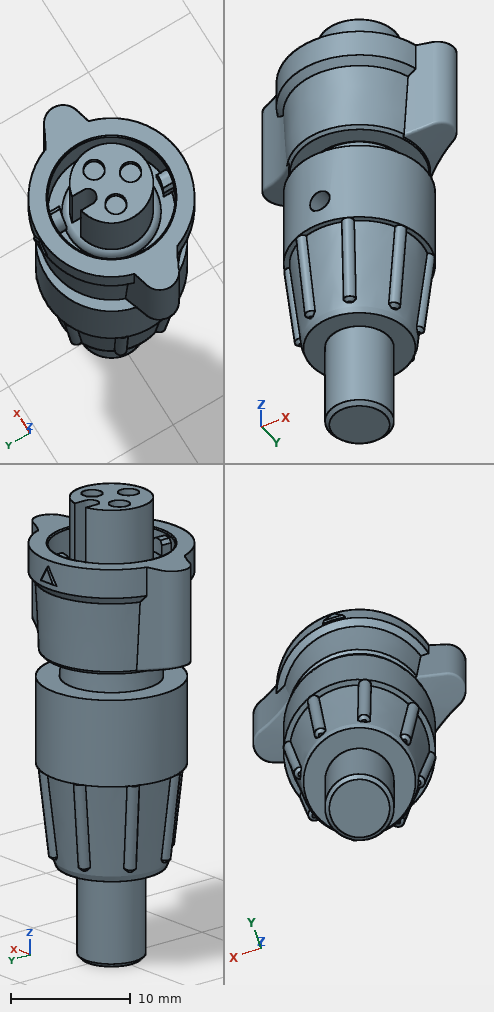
import cadquery as cq
import math

total_height = 40.65

cable_radius = 2.9
cable_chamfer = 0.35

nut_bottom = 8.25
nut_grip_top = 17.2
nut_top = 24.82
nut_radius = 6.35
grip_top_radius = 5.85
grip_bottom_radius = 4.88
grip_edge_radius = 4.67
grip_edge_height = 0.53
rib_count = 8
rib_radius = 0.53
rib_bottom = 9.2
rib_end_chamfer = 0.33
sight_hole_z = 19.65
sight_hole_outer_radius = 0.98
sight_hole_inner_radius = 0.75

insert_radius = 3.5
shoulder_radius = 4.15
shoulder_base = 32.5
shoulder_top = shoulder_base + shoulder_radius - insert_radius
neck_top_radius = 4.23
neck_radius = 4.35
tail_top = sight_hole_z
tail_length = 2.45
tail_bottom = tail_top - tail_length
socket_radius = 0.9
socket_depth = 0.55
socket_circle_radius = 1.85
socket_angles = (20, 160, 270)
keyway_width = 1.42
keyway_inner_end = 1.6

ring_top = 36.55
ring_bottom = 26.98
ring_bore_radius = 5.32
bore_chamfer = 0.12
flange_radius = 6.95
flange_bottom = 34.05
body_top = 33.35
body_top_radius = 6.38
body_bottom_radius = 6.1
ring_edge_chamfer = 0.3
wing_tip = 9.245
wing_root_radius = 5.53
wing_underside_slope = 0.29
wing_edge_fillet = 0.25

lug_bottom = 34.9
lug_top = 36.25
lug_length = 1.8
lug_inner_radius = 4.4
lug_lead_radius = 0.85
lug_end_chamfer = 0.33

arrow_width = 2.28
arrow_bottom = 34.45
arrow_tip = 36.3
arrow_face = 7.1
arrow_depth = 0.4
arrow_draft = 25.0


def revolve_profile(points):
    """Solid of revolution about Z from a closed list of (radius, z) points."""
    return cq.Workplane("XZ").polyline(points).close().revolve(360, (0, 0), (0, 1))


def cylinder(radius, bottom, top):
    return cq.Workplane("XY").workplane(offset=bottom).circle(radius).extrude(top - bottom)


def make_cable():
    return cylinder(cable_radius, 0, tail_bottom).faces("<Z").chamfer(cable_chamfer)


def plug_blank():
    """Turned shape of the plug, with a quarter-round shoulder below the insert."""
    shoulder_round = shoulder_radius - insert_radius
    mid_radius = insert_radius + shoulder_round * math.sin(math.radians(45))
    mid_z = shoulder_base + shoulder_round * math.cos(math.radians(45))
    return (
        cq.Workplane("XZ")
        .moveTo(0, tail_bottom)
        .lineTo(cable_radius, tail_bottom)
        .lineTo(neck_radius, tail_top)
        .lineTo(neck_radius, nut_top)
        .lineTo(neck_top_radius, ring_bottom)
        .lineTo(shoulder_radius, ring_bottom)
        .lineTo(shoulder_radius, shoulder_base)
        .threePointArc((mid_radius, mid_z), (insert_radius, shoulder_top))
        .lineTo(insert_radius, total_height)
        .lineTo(0, total_height)
        .close()
        .revolve(360, (0, 0), (0, 1))
    )


def socket_holes():
    centres = [
        (
            socket_circle_radius * math.cos(math.radians(angle)),
            socket_circle_radius * math.sin(math.radians(angle)),
        )
        for angle in socket_angles
    ]
    return (
        cq.Workplane("XY")
        .workplane(offset=total_height - socket_depth)
        .pushPoints(centres)
        .circle(socket_radius)
        .extrude(socket_depth)
    )


def keyway():
    """Round-ended slot that opens through the +Y side of the insert."""
    half_width = keyway_width / 2
    return (
        cq.Workplane("XY")
        .workplane(offset=shoulder_top)
        .moveTo(-half_width, shoulder_radius)
        .lineTo(-half_width, keyway_inner_end + half_width)
        .threePointArc((0, keyway_inner_end), (half_width, keyway_inner_end + half_width))
        .lineTo(half_width, shoulder_radius)
        .close()
        .extrude(total_height - shoulder_top)
    )


def make_plug():
    return plug_blank().cut(socket_holes()).cut(keyway())


def nut_blank():
    return revolve_profile([
        (0, nut_bottom),
        (grip_edge_radius, nut_bottom),
        (grip_bottom_radius, nut_bottom + grip_edge_height),
        (grip_top_radius, nut_grip_top),
        (nut_radius, nut_grip_top),
        (nut_radius, nut_top),
        (0, nut_top),
    ])


def grip_rib(angle):
    """Round rib whose axis lies on the tapered grip surface."""
    taper = (grip_top_radius - grip_bottom_radius) / (nut_grip_top - nut_bottom - grip_edge_height)
    axis_radius = grip_top_radius - taper * (nut_grip_top - rib_bottom)
    start = cq.Plane(
        origin=(axis_radius, 0, rib_bottom), xDir=(1, 0, -taper), normal=(taper, 0, 1)
    )
    length = math.hypot(1, taper) * (nut_grip_top - rib_bottom)
    rib = cq.Workplane(start).circle(rib_radius).extrude(length)
    return rib.faces("<Z").chamfer(rib_end_chamfer).rotate((0, 0, 0), (0, 0, 1), angle)


def sight_hole():
    """Tapered hole from the -Y side of the nut to the plug."""
    return (
        cq.Workplane("XZ", origin=(0, 0, sight_hole_z))
        .workplane(offset=neck_radius - sight_hole_inner_radius)
        .circle(sight_hole_inner_radius)
        .workplane(offset=nut_radius - neck_radius + sight_hole_inner_radius)
        .circle(sight_hole_outer_radius)
        .loft()
    )


def make_nut(plug, cable):
    nut = nut_blank()
    pitch = 360 / rib_count
    for index in range(rib_count):
        nut = nut.union(grip_rib((index + 0.5) * pitch))
    return nut.cut(sight_hole()).cut(plug).cut(cable)


def half_turn(shape):
    return shape.rotate((0, 0, 0), (0, 0, 1), 180)


def wing_outline():
    """Plan shape of the -X finger wing: a short +Y flank and a long sweeping -Y flank."""
    return (
        cq.Workplane("XY")
        .workplane(offset=ring_bottom)
        .moveTo(-4.88, 2.35)
        .lineTo(-6.62, 1.85)
        .lineTo(-8.13, 1.45)
        .threePointArc((-wing_tip, 0), (-8.35, -1.5))
        .threePointArc((-6.38, -2.55), (-4.25, -4.25))
        .close()
        .extrude(ring_top - ring_bottom)
    )


def wing_envelope():
    """Annulus whose conical underside rises outward beneath the wings."""
    outer = wing_tip + 0.8
    return revolve_profile([
        (wing_root_radius, ring_bottom),
        (outer, ring_bottom + wing_underside_slope * (outer - wing_root_radius)),
        (outer, ring_top),
        (wing_root_radius, ring_top),
    ])


def make_wing():
    wing = wing_outline().intersect(wing_envelope())
    return wing.faces("%CONE").edges("not(%CIRCLE)").fillet(wing_edge_fillet)


def ring_turned_body():
    return revolve_profile([
        (0, ring_bottom),
        (body_bottom_radius - ring_edge_chamfer, ring_bottom),
        (body_bottom_radius, ring_bottom + ring_edge_chamfer),
        (body_top_radius, body_top),
        (flange_radius, flange_bottom),
        (flange_radius, ring_top),
        (0, ring_top),
    ])


def ring_bore():
    """Open bore with a bevelled rim, and the plug's hole through its floor."""
    return revolve_profile([
        (0, ring_bottom),
        (shoulder_radius, ring_bottom),
        (shoulder_radius, shoulder_base),
        (ring_bore_radius, shoulder_base),
        (ring_bore_radius, ring_top - bore_chamfer),
        (ring_bore_radius + bore_chamfer, ring_top),
        (0, ring_top),
    ])


def bayonet_lug():
    """Lug on the +Y side of the bore, with a rounded lead and a bevelled end."""
    lug = cq.Workplane("XY").box(
        lug_length, flange_radius, lug_top - lug_bottom, centered=False
    ).translate((0, 0, lug_bottom))
    lug = lug.edges("<X and >Z").fillet(lug_lead_radius)
    lug = lug.edges(">X and >Z").chamfer(lug_end_chamfer)
    wall_middle = (ring_bore_radius + flange_radius) / 2
    wall = cylinder(wall_middle, lug_bottom, lug_top).cut(cylinder(lug_inner_radius, lug_bottom, lug_top))
    return lug.intersect(wall)


def alignment_arrow():
    return (
        cq.Workplane("XZ", origin=(0, arrow_face - arrow_depth, 0))
        .polyline([(-arrow_width / 2, arrow_bottom), (arrow_width / 2, arrow_bottom), (0, arrow_tip)])
        .close()
        .extrude(-arrow_depth, taper=arrow_draft)
    )


def make_ring():
    ring = ring_turned_body()
    wing = make_wing()
    ring = ring.union(wing).union(half_turn(wing)).cut(ring_bore())
    lug = bayonet_lug()
    ring = ring.union(lug).union(half_turn(lug))
    return ring.union(alignment_arrow())


cable = make_cable()
plug = make_plug()
nut = make_nut(plug, cable)
ring = make_ring()

result = cq.Compound.makeCompound([cable.val(), plug.val(), nut.val(), ring.val()])